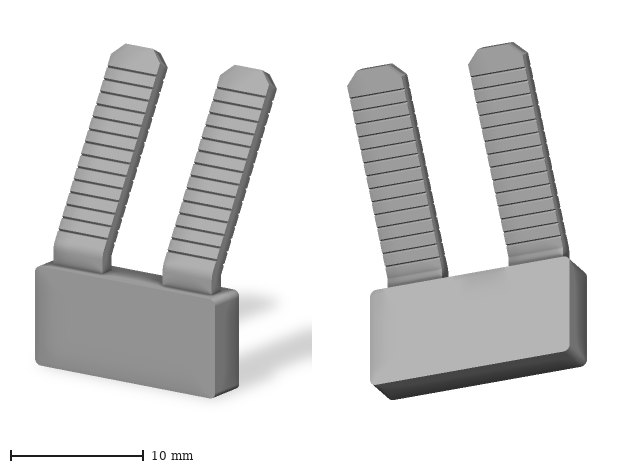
import cadquery as cq
import math

BASE_WIDTH = 16.5
BASE_DEPTH = 3.2
BASE_HEIGHT = 7.8
BASE_CORNER_RADIUS = 0.5

PRONG_PITCH = 10.0
PRONG_WIDTH = 4.5
PRONG_THICKNESS = 1.2
PRONG_LEAN = 30.0
PRONG_STEM_HEIGHT = 1.2
PRONG_LEAN_LENGTH = 15.9
BEND_INNER_RADIUS = 0.2
TIP_CHAMFER = 1.0

GROOVE_COUNT = 14
GROOVE_PITCH = 1.0
GROOVE_TIP_DISTANCE = 2.0
GROOVE_WIDTH = 0.2
GROOVE_DEPTH = 0.2

LEAN = math.radians(PRONG_LEAN)
BEND_OUTER_RADIUS = BEND_INNER_RADIUS + PRONG_THICKNESS
BACK_Y = PRONG_THICKNESS / 2
BEND_Z = BASE_HEIGHT + PRONG_STEM_HEIGHT


def lean_point(along, across):
    """(y, z) of a point in the leaning part: distance along it from the inner
    corner of the bend, and distance across it from its back face."""
    y = BACK_Y + along * math.sin(LEAN) - across * math.cos(LEAN)
    z = BEND_Z + along * math.cos(LEAN) + across * math.sin(LEAN)
    return y, z


def extrude_across_prong(outline):
    """Extrude a closed (y, z) outline over the prong width, centred on X = 0."""
    return cq.Workplane("YZ").polyline(outline).close().extrude(PRONG_WIDTH / 2, both=True)


def make_base():
    block = cq.Workplane("XY").box(BASE_WIDTH, BASE_DEPTH, BASE_HEIGHT, centered=(True, True, False))
    return block.edges("|Y").fillet(BASE_CORNER_RADIUS)


def make_bent_strip():
    """Plain strip: upright stem, rounded bend, leaning part with a chamfered tip."""
    outer_corner_rise = PRONG_THICKNESS * math.tan(LEAN / 2)
    inner_corner = (BACK_Y, BEND_Z)
    outer_corner = (-BACK_Y, BEND_Z + outer_corner_rise)
    strip = extrude_across_prong([
        (-BACK_Y, BASE_HEIGHT),
        outer_corner,
        lean_point(PRONG_LEAN_LENGTH, PRONG_THICKNESS),
        lean_point(PRONG_LEAN_LENGTH, 0),
        inner_corner,
        (BACK_Y, BASE_HEIGHT),
    ])
    strip = strip.edges(cq.NearestToPointSelector((0, *outer_corner))).fillet(BEND_OUTER_RADIUS)
    strip = strip.edges(cq.NearestToPointSelector((0, *inner_corner))).fillet(BEND_INNER_RADIUS)

    tip_y, tip_z = lean_point(PRONG_LEAN_LENGTH, PRONG_THICKNESS / 2)
    for side in (-1, 1):
        tip_edge = cq.NearestToPointSelector((side * PRONG_WIDTH / 2, tip_y, tip_z))
        strip = strip.edges(tip_edge).chamfer(TIP_CHAMFER)
    return strip


def make_groove_cutter(along, face_across, inward):
    """V-shaped bar entering the face at face_across; inward is +1 or -1."""
    return extrude_across_prong([
        lean_point(along - GROOVE_WIDTH / 2, face_across),
        lean_point(along, face_across + inward * GROOVE_DEPTH),
        lean_point(along + GROOVE_WIDTH / 2, face_across),
    ])


def make_prong():
    prong = make_bent_strip()
    for index in range(GROOVE_COUNT):
        along = PRONG_LEAN_LENGTH - GROOVE_TIP_DISTANCE - index * GROOVE_PITCH
        prong = prong.cut(make_groove_cutter(along, 0, 1))
        prong = prong.cut(make_groove_cutter(along, PRONG_THICKNESS, -1))
    return prong


result = make_base()
prong = make_prong()
for side in (-1, 1):
    result = result.union(prong.translate((side * PRONG_PITCH / 2, 0, 0)))